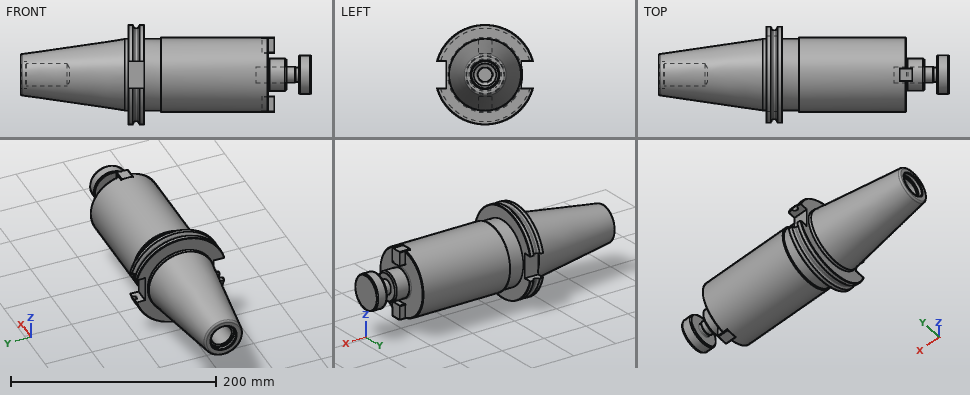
import cadquery as cq
import math


GAUGE_DIAMETER = 69.85
COLLAR_DIAMETER = 70.3
TAPER_LENGTH = 101.6
TAPER_RATE = 3.5 / 12
NOSE_FILLET = 2.0
FLANGE_START = TAPER_LENGTH + 3.175
FLANGE_END = TAPER_LENGTH + 19.05
FLANGE_DIAMETER = 97.5
FLANGE_CHAMFER = 0.5

GROOVE_CENTRE = TAPER_LENGTH + 11.1
GROOVE_WIDTH = 7.0
GROOVE_DEPTH = 3.2
GROOVE_ANGLE = 60.0
GROOVE_ROOT_FILLET = 1.0

SLOT_WIDTH = 26.6
SLOT_FLOOR_FRONT = 35.5
SLOT_FLOOR_BACK = 37.8

RECESS_MOUTH_DIAMETER = 28.2
PILOT_DIAMETER = 26.7
PILOT_DEPTH = 4.4
RECESS_DIAMETER = 26.2
RECESS_DEPTH = 5.5
DRAWBAR_BORE = 21.97
DRAWBAR_DEPTH = 45.0
BORE_END_DIAMETER = 14.0
DRILL_POINT_ANGLE = 118.0

BODY_START = TAPER_LENGTH + 34.925
BODY_DIAMETER = 73.0
BODY_CHAMFER = 0.8
BODY_END = TAPER_LENGTH + 139.7
SPIGOT_DIAMETER = 31.75
SPIGOT_END = BODY_END + 18.0
SPIGOT_CHAMFER = 1.5
UNDERCUT_DIAMETER = 31.25
UNDERCUT_WIDTH = 1.6
UNDERCUT_FILLET = 0.8
EDGE_SEARCH_MARGIN = 0.1

KEY_WIDTH = 12.7
KEY_START = BODY_END - 6.2
KEY_END = BODY_END + 6.2
KEY_INNER = 21.0
KEY_OUTER = 36.5
KEY_CHAMFER = 0.7

SCREW_DIAMETER = 15.88
SCREW_START = SPIGOT_END - 30.0
THREAD_END = 267.3
SCREW_NECK_DIAMETER = 14.35
NECK_FILLET = 0.7
HEAD_DIAMETER = 38.0
HEAD_START = 271.2
HEAD_END = 283.62
HEAD_CHAMFER_LENGTH = 1.5
HEAD_CHAMFER_DEPTH = 0.9


def turned(points):
    """Solid of revolution about X from (x, radius) points."""
    return cq.Workplane("XY").polyline(points).close().revolve(360, (0, 0, 0), (1, 0, 0))


def cylinder(start, end, diameter):
    """Cylinder on the X axis between two stations."""
    return cq.Workplane("YZ", origin=(start, 0, 0)).circle(diameter / 2).extrude(end - start)


def taper_shank():
    gauge_radius = GAUGE_DIAMETER / 2
    small_radius = gauge_radius - TAPER_LENGTH * TAPER_RATE / 2
    shank = turned([(0, 0), (0, small_radius), (TAPER_LENGTH, gauge_radius), (TAPER_LENGTH, 0)])
    return shank.faces("<X").edges().fillet(NOSE_FILLET)


def flange():
    disc = cylinder(FLANGE_START, FLANGE_END, FLANGE_DIAMETER).edges().chamfer(FLANGE_CHAMFER)
    rim = FLANGE_DIAMETER / 2
    half_mouth = GROOVE_WIDTH / 2
    half_floor = half_mouth - GROOVE_DEPTH * math.tan(math.radians(GROOVE_ANGLE / 2))
    groove = turned([
        (GROOVE_CENTRE - half_mouth, rim),
        (GROOVE_CENTRE - half_floor, rim - GROOVE_DEPTH),
        (GROOVE_CENTRE + half_floor, rim - GROOVE_DEPTH),
        (GROOVE_CENTRE + half_mouth, rim),
    ])
    root_edges = cq.selectors.RadiusNthSelector(0)
    groove = groove.edges(root_edges).fillet(GROOVE_ROOT_FILLET)
    disc = disc.cut(groove)
    for side, floor in ((-1, SLOT_FLOOR_FRONT), (1, SLOT_FLOOR_BACK)):
        slot = cq.Workplane("XY").box(FLANGE_END - FLANGE_START, FLANGE_DIAMETER, SLOT_WIDTH)
        offset = side * (floor + FLANGE_DIAMETER / 2)
        disc = disc.cut(slot.translate(((FLANGE_START + FLANGE_END) / 2, offset, 0)))
    return disc


def drawbar_bore():
    pilot_radius = PILOT_DIAMETER / 2
    recess_radius = RECESS_DIAMETER / 2
    mouth_radius = RECESS_MOUTH_DIAMETER / 2
    bore_radius = DRAWBAR_BORE / 2
    end_radius = BORE_END_DIAMETER / 2
    point_length = (bore_radius - end_radius) / math.tan(math.radians(DRILL_POINT_ANGLE / 2))
    return turned([
        (0, 0),
        (0, mouth_radius),
        (mouth_radius - pilot_radius, pilot_radius),
        (PILOT_DEPTH, pilot_radius),
        (PILOT_DEPTH, recess_radius),
        (RECESS_DEPTH, recess_radius),
        (RECESS_DEPTH, bore_radius),
        (DRAWBAR_DEPTH, bore_radius),
        (DRAWBAR_DEPTH + point_length, end_radius),
        (DRAWBAR_DEPTH + point_length, 0),
    ])


def drive_key(side):
    height = KEY_OUTER - KEY_INNER
    key = cq.Workplane("XY").box(KEY_END - KEY_START, KEY_WIDTH, height)
    key = key.edges("|X").chamfer(KEY_CHAMFER)
    return key.translate(((KEY_START + KEY_END) / 2, 0, side * (KEY_INNER + height / 2)))


def clamping_screw():
    thread_radius = SCREW_DIAMETER / 2
    neck_radius = SCREW_NECK_DIAMETER / 2
    fillet_middle = NECK_FILLET * (1 - math.sqrt(0.5))
    shank = (
        cq.Workplane("XY")
        .moveTo(SCREW_START, 0)
        .lineTo(SCREW_START, thread_radius)
        .lineTo(THREAD_END, thread_radius)
        .lineTo(THREAD_END + thread_radius - neck_radius, neck_radius)
        .lineTo(HEAD_START - NECK_FILLET, neck_radius)
        .threePointArc(
            (HEAD_START - fillet_middle, neck_radius + fillet_middle),
            (HEAD_START, neck_radius + NECK_FILLET),
        )
        .lineTo(HEAD_START, 0)
        .close()
        .revolve(360, (0, 0, 0), (1, 0, 0))
    )
    rim_radius = HEAD_DIAMETER / 2
    face_radius = rim_radius - HEAD_CHAMFER_DEPTH
    head = turned([
        (HEAD_START, 0),
        (HEAD_START, face_radius),
        (HEAD_START + HEAD_CHAMFER_LENGTH, rim_radius),
        (HEAD_END - HEAD_CHAMFER_LENGTH, rim_radius),
        (HEAD_END, face_radius),
        (HEAD_END, 0),
    ])
    return shank.union(head)


def arbor(inserts):
    """Holder body with pockets that match the inserted bodies."""
    collar = cylinder(TAPER_LENGTH, BODY_START, COLLAR_DIAMETER)
    body = cylinder(BODY_START, BODY_END, BODY_DIAMETER).edges().chamfer(BODY_CHAMFER)
    undercut = cylinder(BODY_END, BODY_END + UNDERCUT_WIDTH, UNDERCUT_DIAMETER)
    spigot = cylinder(BODY_END + UNDERCUT_WIDTH, SPIGOT_END, SPIGOT_DIAMETER)
    spigot = spigot.faces(">X").edges().chamfer(SPIGOT_CHAMFER)
    solid = taper_shank()
    for section in (collar, flange(), body, undercut, spigot):
        solid = solid.union(section)
    solid = solid.cut(drawbar_bore())
    root = cq.selectors.BoxSelector(
        (BODY_END - EDGE_SEARCH_MARGIN, -UNDERCUT_DIAMETER, -UNDERCUT_DIAMETER),
        (BODY_END + EDGE_SEARCH_MARGIN, UNDERCUT_DIAMETER, UNDERCUT_DIAMETER),
    )
    root_circle = solid.edges("%CIRCLE").edges(root).edges(cq.selectors.RadiusNthSelector(0))
    solid = root_circle.fillet(UNDERCUT_FILLET)
    for insert in inserts:
        solid = solid.cut(insert)
    return solid


keys = [drive_key(side) for side in (-1, 1)]
screw = clamping_screw()
holder = arbor([*keys, screw])

result = cq.Compound.makeCompound([holder.val(), screw.val(), *[key.val() for key in keys]])